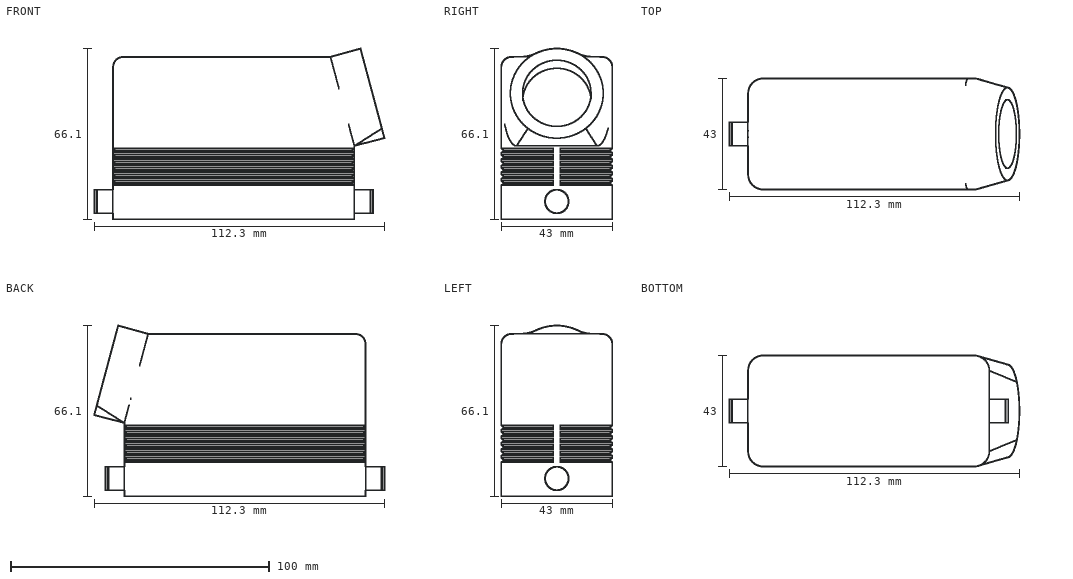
import cadquery as cq
import math

overall_length = 112.3

body_length = 93.3
body_width = 43.0
body_height = 62.9
corner_radius = 6.0
top_fillet = 4.0

groove_count = 6
groove_band_bottom = 13.1
groove_band_height = 14.4
groove_mouth = 1.8
groove_floor = 0.3
groove_depth = 0.9
groove_pitch = (groove_band_height - groove_mouth) / (groove_count - 1)
web_width = 2.7

pin_diameter = 9.2
pin_length = 7.3
pin_z = 7.0
pin_ring_offset = 0.9
pin_ring_width = 0.3
pin_ring_depth = 0.1

outlet_tilt = 15.0
outlet_low_z = 28.4
mouth_diameter = 35.9
bore_diameter = 26.5

end_x = body_length / 2
tilt = math.radians(outlet_tilt)
outlet_axis = cq.Vector(math.cos(tilt), 0, math.sin(tilt))
outlet_up = cq.Vector(-math.sin(tilt), 0, math.cos(tilt))
cut_height = (body_height - outlet_low_z) / math.cos(tilt)
cut_centre = cq.Vector(end_x, 0, outlet_low_z) + outlet_up * (cut_height / 2)
mouth_lip_x = overall_length - end_x - pin_length
outlet_length = (mouth_lip_x - cut_centre.x - math.sin(tilt) * mouth_diameter / 2) / math.cos(tilt)
cut_plane = cq.Plane(origin=cut_centre, xDir=(0, 1, 0), normal=outlet_axis)


def make_body():
    """Rounded block with the top end sliced off square to the outlet axis."""
    block = (
        cq.Workplane("XY")
        .box(body_length, body_width, body_height, centered=(True, True, False))
        .edges("|Z").fillet(corner_radius)
        .faces(">Z").edges().fillet(top_fillet)
    )
    offcut = cq.Workplane(cut_plane).rect(2 * body_width, 2 * cut_height).extrude(body_length)
    return block.cut(offcut)


def rim_angle(edge):
    """Angle of an edge midpoint about the outlet axis, from 0 at straight up to a full turn."""
    offset = edge.positionAt(0.5) - cut_centre
    angle = math.atan2(offset.y, offset.dot(outlet_up))
    return round(angle, 6) % (2 * math.pi)


def make_outlet(body):
    """Ruled blend from the cut face to the round mouth, matched by share of perimeter."""
    rim = body.faces(cq.selectors.DirectionMinMaxSelector(outlet_axis, True)).val().outerWire()
    mouth_centre = cut_centre + outlet_axis * outlet_length
    mouth_radius = mouth_diameter / 2
    mouth_side = cq.Vector(0, 1, 0)

    def mouth_point(angle):
        across = mouth_side * (mouth_radius * math.sin(angle))
        return mouth_centre + across + outlet_up * (mouth_radius * math.cos(angle))

    edges = sorted(rim.Edges(), key=rim_angle)
    perimeter = sum(edge.Length() for edge in edges)
    travelled = -edges[0].Length() / 2
    arcs = []
    for edge in edges:
        start = 2 * math.pi * travelled / perimeter
        travelled += edge.Length()
        end = 2 * math.pi * travelled / perimeter
        middle = (start + end) / 2
        arcs.append(cq.Edge.makeThreePointArc(mouth_point(start), mouth_point(middle), mouth_point(end)))
    mouth = cq.Wire.assembleEdges(arcs)
    return cq.Workplane(cq.Solid.makeLoft([cq.Wire.assembleEdges(edges), mouth], True))


def make_bore():
    """Round cable bore, as deep as the snout is long."""
    return cq.Workplane(cut_plane).circle(bore_diameter / 2).extrude(outlet_length)


def wall_prism(z, height, taper=0):
    """Prism on the body outline from height z, tapering inwards by the given angle."""
    outline = cq.Sketch().rect(body_length, body_width).vertices().fillet(corner_radius)
    return cq.Workplane("XY", origin=(0, 0, z)).placeSketch(outline).extrude(height, taper=taper)


def make_groove(z):
    """Ring that removes one groove centred at height z, leaving the end-wall webs."""
    half_mouth = groove_mouth / 2
    flank_height = (groove_mouth - groove_floor) / 2
    flank_angle = math.degrees(math.atan2(groove_depth, flank_height))
    ring = wall_prism(z - half_mouth, groove_mouth)
    core = cq.Workplane("XY", origin=(0, 0, z)).box(
        body_length - 2 * groove_depth, body_width - 2 * groove_depth, groove_mouth
    )
    core = core.edges("|Z").fillet(corner_radius - groove_depth)
    lower_flank = wall_prism(z - half_mouth, flank_height, taper=flank_angle)
    upper_flank = wall_prism(z + half_mouth, -flank_height, taper=flank_angle)
    webs = cq.Workplane("XY", origin=(0, 0, z)).box(body_length, web_width, groove_mouth)
    return ring.cut(core).cut(lower_flank).cut(upper_flank).cut(webs)


def make_pin(side):
    """Locking pin on the end wall, side -1 or +1 along X, with a shallow ring near its tip."""
    wall = cq.Plane(origin=(side * end_x, 0, pin_z), xDir=(0, 1, 0), normal=(side, 0, 0))
    radius = pin_diameter / 2
    pin = cq.Workplane(wall).circle(radius).extrude(pin_length)
    ring = (
        cq.Workplane(wall)
        .workplane(offset=pin_length - pin_ring_offset - pin_ring_width)
        .circle(radius)
        .circle(radius - pin_ring_depth)
        .extrude(pin_ring_width)
    )
    return pin.cut(ring)


body = make_body()
result = body.union(make_outlet(body)).cut(make_bore())
for index in range(groove_count):
    groove_z = groove_band_bottom + groove_mouth / 2 + index * groove_pitch
    result = result.cut(make_groove(groove_z))
for side in (-1, 1):
    result = result.union(make_pin(side))